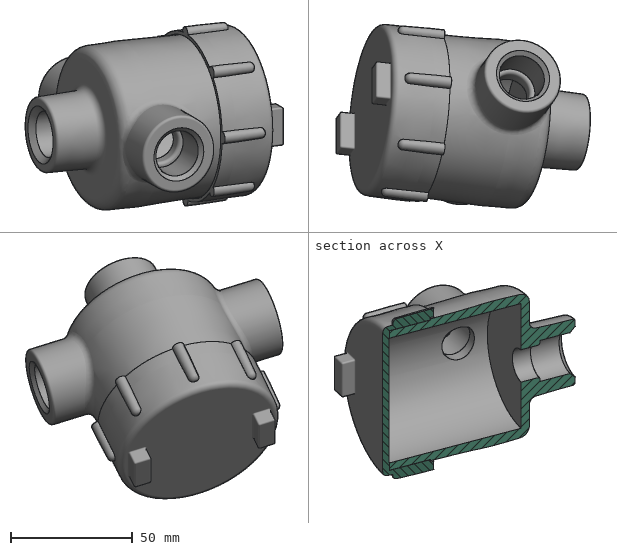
import cadquery as cq
import math


face_y = -17.7
edge_start_y = -12.8
parting_y = 0.0
cover_mouth_y = 26.9
face_dia = 58.4
edge_dia = 68.3
girth_dia = 68.9
upper_dia = 67.5
neck_dia = 66.4
mouth_clearance_dia = 68.3
mouth_depth = 1.7
shoulder_y = cover_mouth_y + mouth_depth
cavity_dia = 58.9
end_wall = 4.1

port_length = 50.8
side_port_dia = 32.5
side_rim_round = 1.1
side_mouth_dia = 22.7
end_port_y = -38.9
end_port_root_dia = 32.5
end_port_tip_dia = 31.5
end_rim_round = 1.2
end_mouth_dia = 24.1
root_fillet = 3.0
socket_dia = 19.2
socket_depth = 16.3
throat_dia = 15.1
throat_round = 1.4

cover_back_y = 50.9
cover_parting_y = 33.3
cover_dia = 71.1
cover_back_dia = 70.8
cover_back_round = 2.4
cover_wall = 3.3
cover_floor_y = cover_back_y - cover_wall

rib_count = 8
rib_circle_radius = 35.8
rib_radius = 2.49
rib_back_radius = 2.2
rib_dome_y = 44.0
rib_tip_y = 46.1
rib_tip_radius = 0.5

lug_width = 7.4
lug_height = 16.2
lug_spacing = 54.9
lug_tip_y = 57.1
lug_round = 0.7
lug_base_fillet = 0.5


def turned(sketch):
    """Revolve a half profile of (radius, y) points about the Y axis."""
    return sketch.close().revolve(360, (0, 0, 0), (0, 1, 0))


def socket_bore(mouth_dia, inner_reach):
    """Stepped port bore along +Z, with its mouth at the origin.

    A 45 degree lead-in opens to the socket, and a rounded lip leads into the throat.
    """
    socket_radius = socket_dia / 2
    throat_radius = throat_dia / 2
    lead_in = (mouth_dia - socket_dia) / 2
    diagonal = throat_round * math.sqrt(0.5)
    profile = (
        cq.Workplane("XZ")
        .moveTo(0, 0)
        .lineTo(mouth_dia / 2, 0)
        .lineTo(socket_radius, lead_in)
        .lineTo(socket_radius, socket_depth)
        .lineTo(throat_radius + throat_round, socket_depth)
        .threePointArc(
            (throat_radius + throat_round - diagonal, socket_depth + throat_round - diagonal),
            (throat_radius, socket_depth + throat_round),
        )
        .lineTo(throat_radius, inner_reach)
        .lineTo(0, inner_reach)
        .close()
    )
    return profile.revolve(360, (0, 0, 0), (0, 1, 0))


def make_shell():
    """Drafted round shell with a rounded end edge and a neck for the cover."""
    diagonal = math.sqrt(0.5)
    edge_radius = edge_dia / 2
    edge_depth = edge_start_y - face_y
    edge_width = (edge_dia - face_dia) / 2
    edge_middle = (
        face_dia / 2 + edge_width * diagonal,
        edge_start_y - edge_depth * diagonal,
    )
    return turned(
        cq.Workplane("XY")
        .moveTo(0, face_y)
        .lineTo(face_dia / 2, face_y)
        .threePointArc(edge_middle, (edge_radius, edge_start_y))
        .lineTo(girth_dia / 2, parting_y)
        .lineTo(upper_dia / 2, cover_mouth_y)
        .lineTo(upper_dia / 2, shoulder_y)
        .lineTo(neck_dia / 2, shoulder_y)
        .lineTo(neck_dia / 2, cover_floor_y)
        .lineTo(0, cover_floor_y)
    )


def make_side_ports():
    """Both side ports as one straight bar along X with rounded rims."""
    bar = cq.Workplane("YZ").circle(side_port_dia / 2).extrude(port_length, both=True)
    return bar.faces("<X or >X").edges().fillet(side_rim_round)


def make_end_port():
    """Slightly tapered port along -Y with a rounded rim and a flared root."""
    root_radius = end_port_root_dia / 2
    root_y = face_y - root_fillet
    diagonal = root_fillet * math.sqrt(0.5)
    port = turned(
        cq.Workplane("XY")
        .moveTo(0, end_port_y)
        .lineTo(end_port_tip_dia / 2, end_port_y)
        .lineTo(root_radius, root_y)
        .threePointArc(
            (root_radius + root_fillet - diagonal, root_y + diagonal),
            (root_radius + root_fillet, face_y),
        )
        .lineTo(0, face_y)
    )
    return port.faces("<Y").edges().fillet(end_rim_round)


def make_housing():
    body = make_shell().union(make_side_ports())
    body = body.edges("%BSPLINE").fillet(root_fillet)
    body = body.union(make_end_port())
    cavity_floor_y = face_y + end_wall
    cavity = (
        cq.Workplane("XZ", origin=(0, cavity_floor_y, 0))
        .circle(cavity_dia / 2)
        .extrude(cavity_floor_y - cover_floor_y)
    )
    body = body.cut(cavity)
    side_bore = socket_bore(side_mouth_dia, port_length)
    for direction in (-1, 1):
        placed = side_bore.rotate((0, 0, 0), (0, 1, 0), -90 * direction)
        body = body.cut(placed.translate((direction * port_length, 0, 0)))
    end_bore = socket_bore(end_mouth_dia, -end_port_y)
    end_bore = end_bore.rotate((0, 0, 0), (1, 0, 0), -90).translate((0, end_port_y, 0))
    return body.cut(end_bore)


def make_rib():
    """Round grip rib along Y, tapered and domed toward the back of the cover."""
    dome_middle = (
        rib_tip_radius + (rib_back_radius - rib_tip_radius) * math.sqrt(0.5),
        rib_dome_y + (rib_tip_y - rib_dome_y) * math.sqrt(0.5),
    )
    return turned(
        cq.Workplane("XY")
        .moveTo(0, cover_mouth_y)
        .lineTo(rib_radius, cover_mouth_y)
        .lineTo(rib_radius, cover_parting_y)
        .lineTo(rib_back_radius, rib_dome_y)
        .threePointArc(dome_middle, (rib_tip_radius, rib_tip_y))
        .lineTo(0, rib_tip_y)
    ).translate((0, 0, rib_circle_radius))


def make_lug(center_x):
    """Rectangular wrench lug standing on the back of the cover."""
    lug_length = lug_tip_y - cover_back_y
    lug = cq.Workplane("XY").box(lug_width, lug_length, lug_height)
    lug = lug.edges("|Y or >Y").fillet(lug_round)
    return lug.translate((center_x, cover_back_y + lug_length / 2, 0))


def lug_base_edges(center_x):
    """Selector for the edges where a lug meets the back of the cover."""
    margin = 0.1
    half_width = lug_width / 2 + margin
    half_height = lug_height / 2 + margin
    return cq.selectors.BoxSelector(
        (center_x - half_width, cover_back_y - margin, -half_height),
        (center_x + half_width, cover_back_y + margin, half_height),
        boundingbox=True,
    )


def make_cover():
    cover = turned(
        cq.Workplane("XY")
        .moveTo(0, cover_mouth_y)
        .lineTo(cover_dia / 2, cover_mouth_y)
        .lineTo(cover_dia / 2, cover_parting_y)
        .lineTo(cover_back_dia / 2, cover_back_y)
        .lineTo(0, cover_back_y)
    )
    cover = cover.faces(">Y").edges().fillet(cover_back_round)
    rib = make_rib()
    for index in range(rib_count):
        cover = cover.union(rib.rotate((0, 0, 0), (0, 1, 0), index * 360 / rib_count))
    for center_x in (-lug_spacing / 2, lug_spacing / 2):
        cover = cover.union(make_lug(center_x))
        cover = cover.edges(lug_base_edges(center_x)).fillet(lug_base_fillet)
    recess = turned(
        cq.Workplane("XY")
        .moveTo(0, cover_mouth_y)
        .lineTo(mouth_clearance_dia / 2, cover_mouth_y)
        .lineTo(mouth_clearance_dia / 2, shoulder_y)
        .lineTo(neck_dia / 2, shoulder_y)
        .lineTo(neck_dia / 2, cover_floor_y)
        .lineTo(0, cover_floor_y)
    )
    return cover.cut(recess)


housing = make_housing()
cover = make_cover()
result = cq.Compound.makeCompound([housing.solids().val(), cover.solids().val()])